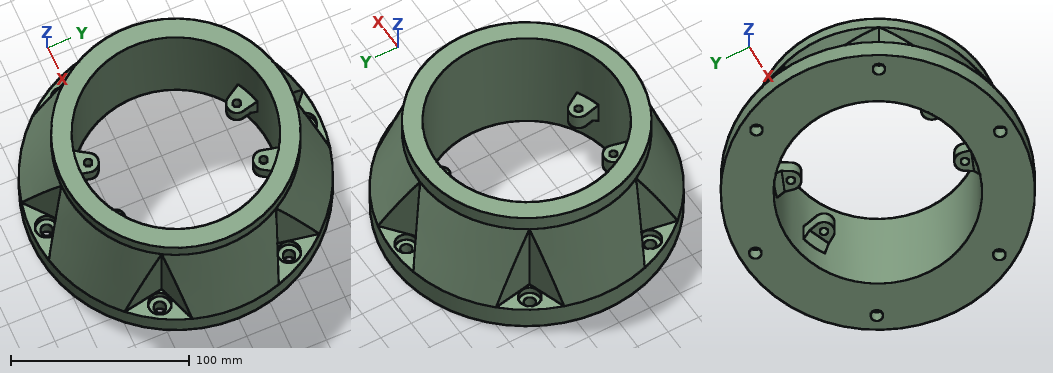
import cadquery as cq
import math

base_diameter = 176.4
collar_diameter = 140.0
bore_diameter = 117.0
base_height = 15.0
collar_height = 10.0
total_height = 75.0
base_radius = base_diameter / 2
collar_radius = collar_diameter / 2
bore_radius = bore_diameter / 2
flare_top = total_height - collar_height

bolt_count = 6
bolt_pitch = 360 / bolt_count
first_bolt_angle = 90
bolt_circle_radius = 79.0
bolt_hole_diameter = 6.9
counterbore_diameter = 13.2
counterbore_depth = 4.8
pocket_half_angle = 50

tab_angles = (67.5, 112.5, 247.5, 292.5)
tab_hole_radius = 49.2
tab_hole_diameter = 4.5
tab_tip_radius = 6.0
tab_taper_angle = 9.5
tab_top = 35.0
tab_thickness = 10.0
gusset_size = 5.0
tab_root_embed = 1.8
tab_root_radius = bore_radius + tab_root_embed
tab_bottom = tab_top - tab_thickness
gusset_bottom = tab_bottom - gusset_size


def make_body():
    """Solid of revolution: base ring, conical flare and collar."""
    profile = [
        (0, 0),
        (base_radius, 0),
        (base_radius, base_height),
        (collar_radius, flare_top),
        (collar_radius, total_height),
        (0, total_height),
    ]
    return cq.Workplane("XZ").polyline(profile).close().revolve(360, (0, 0), (0, 1))


def make_pocket(angle):
    """V-shaped pocket on the base ring with a counterbored bolt hole, at the given angle."""
    reach = base_radius - collar_radius
    half_width = reach * math.tan(math.radians(pocket_half_angle))
    notch = (
        cq.Workplane("XY", origin=(0, 0, base_height))
        .polyline([(collar_radius, 0), (base_radius, half_width), (base_radius, -half_width)])
        .close()
        .extrude(flare_top - base_height)
    )
    counterbore = (
        cq.Workplane("XY", origin=(bolt_circle_radius, 0, base_height - counterbore_depth))
        .circle(counterbore_diameter / 2)
        .extrude(counterbore_depth)
    )
    hole = (
        cq.Workplane("XY", origin=(bolt_circle_radius, 0, 0))
        .circle(bolt_hole_diameter / 2)
        .extrude(base_height)
    )
    return notch.union(counterbore).union(hole).rotate((0, 0, 0), (0, 0, 1), angle)


def make_tab(angle):
    """Tapered round-nosed tab with a gusset under its root, at the given angle."""
    taper = math.radians(tab_taper_angle)
    tip_x = tab_hole_radius - tab_tip_radius
    tangent_x = tab_hole_radius - tab_tip_radius * math.sin(taper)
    tangent_y = tab_tip_radius * math.cos(taper)
    root_y = tangent_y + (tab_root_radius - tangent_x) * math.tan(taper)
    outline = (
        cq.Workplane("XY", origin=(0, 0, gusset_bottom))
        .moveTo(tab_root_radius, -root_y)
        .lineTo(tangent_x, -tangent_y)
        .threePointArc((tip_x, 0), (tangent_x, tangent_y))
        .lineTo(tab_root_radius, root_y)
        .close()
        .extrude(tab_top - gusset_bottom)
    )
    side_profile = (
        cq.Workplane("XZ")
        .polyline([
            (tip_x, tab_top),
            (tip_x, tab_bottom),
            (bore_radius - gusset_size, tab_bottom),
            (bore_radius, gusset_bottom),
            (tab_root_radius, gusset_bottom),
            (tab_root_radius, tab_top),
        ])
        .close()
        .extrude(root_y, both=True)
    )
    hole = (
        cq.Workplane("XY", origin=(tab_hole_radius, 0, gusset_bottom))
        .circle(tab_hole_diameter / 2)
        .extrude(tab_top - gusset_bottom)
    )
    return outline.intersect(side_profile).cut(hole).rotate((0, 0, 0), (0, 0, 1), angle)


bore = cq.Workplane("XY").circle(bore_radius).extrude(total_height)
result = make_body().cut(bore)

for bolt_index in range(bolt_count):
    result = result.cut(make_pocket(first_bolt_angle + bolt_index * bolt_pitch))

for tab_angle in tab_angles:
    result = result.union(make_tab(tab_angle))